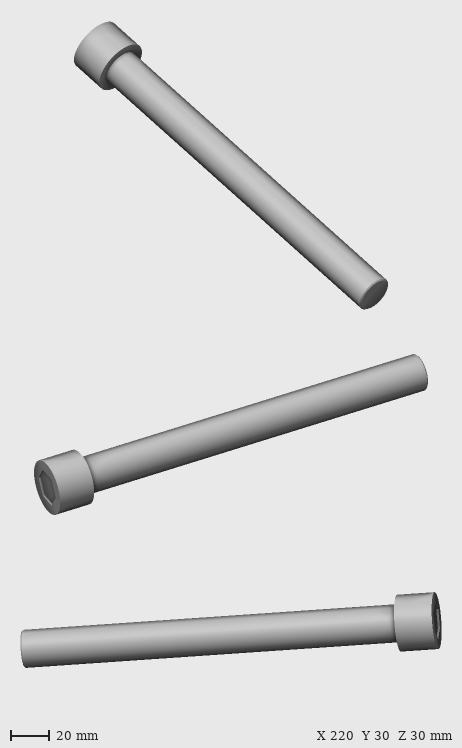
import cadquery as cq
import math

total_length = 220.0
head_diameter = 30.0
shank_diameter = 20.0
head_length = shank_diameter
socket_across_flats = 17.0
socket_depth = 1.0
tip_chamfer = 0.7

head_face_x = -total_length / 2


def rod(start_x, diameter, length):
    """Solid cylinder on the X axis, running toward +X from start_x."""
    return cq.Workplane("YZ", origin=(start_x, 0, 0)).circle(diameter / 2).extrude(length)


def hex_socket():
    """Hexagonal key recess with two corners on the Y axis."""
    across_corners = socket_across_flats / math.cos(math.pi / 6)
    return (
        cq.Workplane("YZ", origin=(head_face_x, 0, 0))
        .polygon(6, across_corners)
        .extrude(socket_depth)
    )


head = rod(head_face_x, head_diameter, head_length)
shank = rod(head_face_x, shank_diameter, total_length).faces(">X").chamfer(tip_chamfer)

result = head.union(shank).cut(hex_socket())